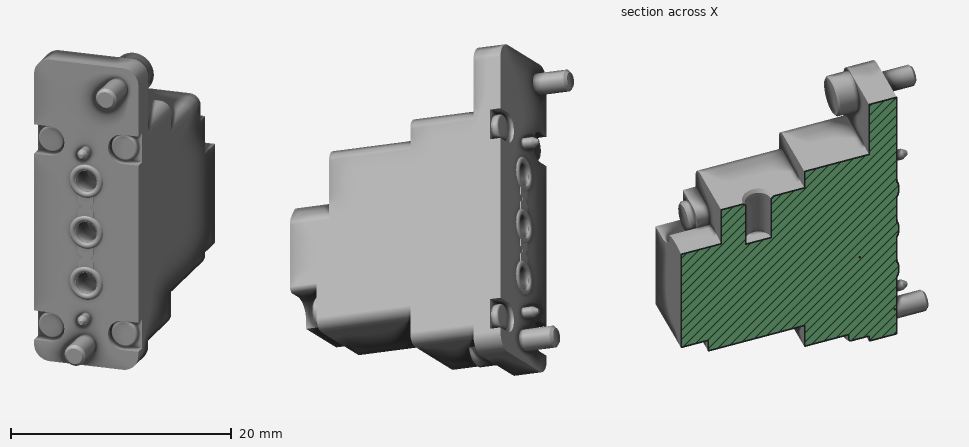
import cadquery as cq
import math

WIDTH = 10.0
HALF_WIDTH = WIDTH / 2
PLATE_HEIGHT = 29.0
PLATE_THICKNESS = 2.7
PLATE_CORNER_RADIUS = 1.5
BACK_Y = 21.0

HOUSING_FILLET = 1.05
LARGE_STEP_TOP_Z = 8.4
LARGE_STEP_BOTTOM_Z = -13.05
LARGE_STEP_BACK_Y = 9.0
SMALL_STEP_TOP_Z = 6.4
SMALL_STEP_BOTTOM_Z = -10.5
SMALL_STEP_BACK_Y = 17.1
LEDGE_BACK_Y = 18.35

HEAD_CENTRE_Z = -2.57
HEAD_RADIUS = 5.0
SHOULDER_RADIUS = 5.65
GROOVE_ANGLE = 38.5
GROOVE_RADIUS = 0.5
SHOULDER_FILLET = 1.15
HEAD_BOTTOM_Z = -9.2
HEAD_LOWER_FILLET = 0.5
CUTOUT_RADIUS = 1.8
UPPER_LEDGE_TOP_Z = 3.9
UPPER_LEDGE_FILLET = 1.0

COVER_SCREW_X = 3.3
COVER_SCREW_UPPER_Z = 2.13
COVER_SCREW_LOWER_Z = -8.46
COVER_SCREW_DIAMETER = 3.0
COVER_SCREW_HEIGHT = 0.6
COVER_SCREW_CHAMFER = 0.2

PORT_X = -1.3
PORT_Y = 13.45
PORT_DIAMETER = 2.46
PORT_MOUTH_DIAMETER = 3.0
PORT_DEPTH = 5.0

MOUNTING_SCREWS = [(3.0, 12.5), (0.0, -12.5)]
MOUNTING_HEAD_DIAMETER = 3.8
MOUNTING_HEAD_HEIGHT = 2.0
MOUNTING_HEAD_CHAMFER = 0.15
MOUNTING_SHANK_DIAMETER = 2.0
MOUNTING_SHANK_LENGTH = 3.3
MOUNTING_SHANK_CHAMFER = 0.25

NOTCH_X = 3.5
NOTCH_ROWS_Z = [6.7, -11.2]
NOTCH_RADIUS = 1.4
NOTCH_DEPTH = 1.05
NOTCH_SCREW_DIAMETER = 2.5
NOTCH_SCREW_HEIGHT = 0.65
NOTCH_SCREW_FILLET = 0.2

LOCATING_PINS_Z = [6.1, -9.9]
LOCATING_PIN_DIAMETER = 1.0
LOCATING_PIN_TIP_DIAMETER = 0.4
LOCATING_PIN_STRAIGHT = 1.0
LOCATING_PIN_LENGTH = 1.5

PASSAGE_MIDDLE_Z = -1.68
PASSAGE_PITCH = 4.9
PASSAGE_DIAMETER = 2.0
PASSAGE_DEPTH = 3.0
RING_SECTION_RADIUS = 0.31
RING_RADIUS = PASSAGE_DIAMETER / 2 + RING_SECTION_RADIUS
RING_PROJECTION = 0.2
WEB_HALF_WIDTH = 0.74
WEB_WAIST_HALF_WIDTH = 0.38
WEB_WAIST_HALF_HEIGHT = 0.12
WEB_WAIST_TAPER_HEIGHT = 0.22
WEB_PROJECTION = 0.06


def front_plane(y):
    """X-Z sketch plane at depth y; local y is Z and extrusion runs toward -Y."""
    return cq.Workplane("XZ", origin=(0, y, 0))


def block(x_min, x_max, z_min, z_max, y_min, y_max):
    return cq.Workplane("XY").box(
        x_max - x_min, y_max - y_min, z_max - z_min, centered=False
    ).translate((x_min, y_min, z_min))


def disc(x, z, diameter, y_front, y_back):
    """Cylinder along Y between two depths."""
    return front_plane(y_back).center(x, z).circle(diameter / 2).extrude(y_back - y_front)


def head_point(radius, angle_from_top):
    """Point around the head's centre; positive angles lean toward -X."""
    angle = math.radians(angle_from_top)
    return (-radius * math.sin(angle), HEAD_CENTRE_Z + radius * math.cos(angle))


def make_plate():
    plate = block(-HALF_WIDTH, HALF_WIDTH, -PLATE_HEIGHT / 2, PLATE_HEIGHT / 2, 0, PLATE_THICKNESS)
    return plate.edges("|Y").fillet(PLATE_CORNER_RADIUS)


def make_housing():
    large = block(
        -HALF_WIDTH, HALF_WIDTH, LARGE_STEP_BOTTOM_Z, LARGE_STEP_TOP_Z, PLATE_THICKNESS, LARGE_STEP_BACK_Y
    ).edges("|Y").fillet(HOUSING_FILLET)
    small = block(
        -HALF_WIDTH, HALF_WIDTH, SMALL_STEP_BOTTOM_Z, SMALL_STEP_TOP_Z, PLATE_THICKNESS, SMALL_STEP_BACK_Y
    ).edges("|Y").fillet(HOUSING_FILLET)
    return large.union(small)


def make_head():
    """Rear head, running from the small step to the back face."""
    cutout_edge_x = COVER_SCREW_X - CUTOUT_RADIUS
    lower_cutout_top_z = COVER_SCREW_LOWER_Z + CUTOUT_RADIUS
    upper_cutout_floor_z = COVER_SCREW_UPPER_Z - CUTOUT_RADIUS
    diagonal = CUTOUT_RADIUS * math.sqrt(0.5)
    shoulder_end_angle = math.degrees(math.asin(HALF_WIDTH / SHOULDER_RADIUS))
    top_end_angle = -math.degrees(math.asin(cutout_edge_x / HEAD_RADIUS))

    head = (
        front_plane(BACK_Y)
        .moveTo(-cutout_edge_x, HEAD_BOTTOM_Z)
        .lineTo(-cutout_edge_x, COVER_SCREW_LOWER_Z)
        .threePointArc(
            (-COVER_SCREW_X + diagonal, COVER_SCREW_LOWER_Z + diagonal),
            (-COVER_SCREW_X, lower_cutout_top_z),
        )
        .lineTo(-HALF_WIDTH, lower_cutout_top_z)
        .lineTo(*head_point(SHOULDER_RADIUS, shoulder_end_angle))
        .threePointArc(
            head_point(SHOULDER_RADIUS, (shoulder_end_angle + GROOVE_ANGLE) / 2),
            head_point(SHOULDER_RADIUS, GROOVE_ANGLE),
        )
        .lineTo(*head_point(HEAD_RADIUS, GROOVE_ANGLE))
        .threePointArc(head_point(HEAD_RADIUS, 0), head_point(HEAD_RADIUS, top_end_angle))
        .lineTo(cutout_edge_x, COVER_SCREW_UPPER_Z)
        .threePointArc(
            (COVER_SCREW_X - diagonal, COVER_SCREW_UPPER_Z - diagonal),
            (COVER_SCREW_X, upper_cutout_floor_z),
        )
        .lineTo(HALF_WIDTH, upper_cutout_floor_z)
        .lineTo(HALF_WIDTH, HEAD_BOTTOM_Z)
        .close()
        .extrude(BACK_Y - SMALL_STEP_BACK_Y)
    )
    side_edges = head.faces("<X").edges("|Y")
    head = side_edges.edges(">Z").fillet(SHOULDER_FILLET)
    head = head.faces("<X").edges("|Y").edges("<Z").fillet(HEAD_LOWER_FILLET)

    groove_x, groove_z = head_point(HEAD_RADIUS + GROOVE_RADIUS, GROOVE_ANGLE)
    return head.cut(disc(groove_x, groove_z, 2 * GROOVE_RADIUS, SMALL_STEP_BACK_Y, BACK_Y))


def make_ledges():
    """Ledges behind the small step that carry the cover screws."""
    cutout_edge_x = COVER_SCREW_X - CUTOUT_RADIUS
    upper = block(
        cutout_edge_x, HALF_WIDTH, HEAD_CENTRE_Z, UPPER_LEDGE_TOP_Z, SMALL_STEP_BACK_Y, LEDGE_BACK_Y
    )
    upper = upper.edges("|Y and <X and >Z").fillet(UPPER_LEDGE_FILLET)
    lower = block(
        -HALF_WIDTH, HALF_WIDTH, SMALL_STEP_BOTTOM_Z, HEAD_CENTRE_Z, SMALL_STEP_BACK_Y, LEDGE_BACK_Y
    )
    lower = lower.faces("<Z").edges("|Y").fillet(HOUSING_FILLET)
    return upper.union(lower)


def make_cover_screws():
    back_y = LEDGE_BACK_Y + COVER_SCREW_HEIGHT
    upper = disc(COVER_SCREW_X, COVER_SCREW_UPPER_Z, COVER_SCREW_DIAMETER, LEDGE_BACK_Y, back_y)
    lower = disc(-COVER_SCREW_X, COVER_SCREW_LOWER_Z, COVER_SCREW_DIAMETER, LEDGE_BACK_Y, back_y)
    return upper.union(lower).faces(">Y").edges().chamfer(COVER_SCREW_CHAMFER)


def cut_port(body):
    mouth_chamfer = (PORT_MOUTH_DIAMETER - PORT_DIAMETER) / 2
    port = cq.Workplane("XY", origin=(PORT_X, PORT_Y, SMALL_STEP_TOP_Z))
    bore = port.circle(PORT_DIAMETER / 2).extrude(-PORT_DEPTH)
    mouth = (
        port.circle(PORT_MOUTH_DIAMETER / 2)
        .workplane(offset=-mouth_chamfer)
        .circle(PORT_DIAMETER / 2)
        .loft()
    )
    return body.cut(bore).cut(mouth)


def make_mounting_screw(x, z):
    head_back_y = PLATE_THICKNESS + MOUNTING_HEAD_HEIGHT
    head = disc(x, z, MOUNTING_HEAD_DIAMETER, PLATE_THICKNESS, head_back_y)
    head = head.faces(">Y").edges().chamfer(MOUNTING_HEAD_CHAMFER)
    shank = disc(x, z, MOUNTING_SHANK_DIAMETER, -MOUNTING_SHANK_LENGTH, PLATE_THICKNESS)
    shank = shank.faces("<Y").edges().chamfer(MOUNTING_SHANK_CHAMFER)
    return head.union(shank)


def make_notch(side, z):
    """Round-ended notch open to one side of the plate; side is -1 or 1."""
    centre_x = side * NOTCH_X
    round_end = disc(centre_x, z, 2 * NOTCH_RADIUS, 0, NOTCH_DEPTH)
    x_min, x_max = sorted((centre_x, side * HALF_WIDTH))
    return round_end.union(block(x_min, x_max, z - NOTCH_RADIUS, z + NOTCH_RADIUS, 0, NOTCH_DEPTH))


def make_notch_screw(side, z):
    screw = disc(side * NOTCH_X, z, NOTCH_SCREW_DIAMETER, NOTCH_DEPTH - NOTCH_SCREW_HEIGHT, NOTCH_DEPTH)
    return screw.faces("<Y").edges().fillet(NOTCH_SCREW_FILLET)


def make_locating_pin(z):
    pin = disc(0, z, LOCATING_PIN_DIAMETER, -LOCATING_PIN_STRAIGHT, 0)
    tip = (
        front_plane(-LOCATING_PIN_STRAIGHT)
        .center(0, z)
        .circle(LOCATING_PIN_DIAMETER / 2)
        .workplane(offset=LOCATING_PIN_LENGTH - LOCATING_PIN_STRAIGHT)
        .circle(LOCATING_PIN_TIP_DIAMETER / 2)
        .loft()
    )
    return pin.union(tip)


def make_sealing_ring(z):
    ring = cq.Solid.makeTorus(RING_RADIUS, RING_SECTION_RADIUS, cq.Vector(0, 0, 0), cq.Vector(0, 1, 0))
    return cq.Workplane(ring).translate((0, RING_SECTION_RADIUS - RING_PROJECTION, z))


def make_web(z):
    """Waisted gasket web between two passages, centred at height z."""
    half_length = PASSAGE_PITCH / 2 - PASSAGE_DIAMETER / 2 - RING_SECTION_RADIUS
    shoulder_z = WEB_WAIST_HALF_HEIGHT + WEB_WAIST_TAPER_HEIGHT
    side = [
        (WEB_HALF_WIDTH, -half_length),
        (WEB_HALF_WIDTH, -shoulder_z),
        (WEB_WAIST_HALF_WIDTH, -WEB_WAIST_HALF_HEIGHT),
        (WEB_WAIST_HALF_WIDTH, WEB_WAIST_HALF_HEIGHT),
        (WEB_HALF_WIDTH, shoulder_z),
        (WEB_HALF_WIDTH, half_length),
    ]
    other_side = [(-x, height) for x, height in reversed(side)]
    return front_plane(0).center(0, z).polyline(side + other_side).close().extrude(WEB_PROJECTION)


body = make_plate().union(make_housing()).union(make_ledges()).union(make_head())
body = cut_port(body).union(make_cover_screws())

for screw_x, screw_z in MOUNTING_SCREWS:
    body = body.union(make_mounting_screw(screw_x, screw_z))

for row_z in NOTCH_ROWS_Z:
    for plate_side in (-1, 1):
        body = body.cut(make_notch(plate_side, row_z))
        body = body.union(make_notch_screw(plate_side, row_z))

for pin_z in LOCATING_PINS_Z:
    body = body.union(make_locating_pin(pin_z))

for step in (-0.5, 0.5):
    body = body.union(make_web(PASSAGE_MIDDLE_Z + step * PASSAGE_PITCH))

for step in (-1, 0, 1):
    passage_z = PASSAGE_MIDDLE_Z + step * PASSAGE_PITCH
    body = body.union(make_sealing_ring(passage_z))
    body = body.cut(disc(0, passage_z, PASSAGE_DIAMETER, -RING_PROJECTION, PASSAGE_DEPTH))

result = body